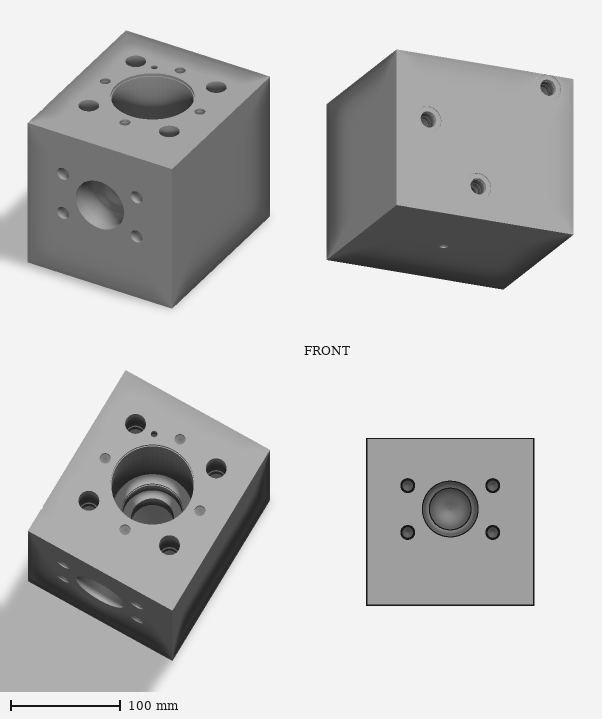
import cadquery as cq
import math

WIDTH = 152.4
LENGTH = 177.8
HEIGHT = 152.4
DRILL_POINT_ANGLE = 118.0

CAVITY_Y = 95.3
MAIN_DIAMETER = 75.0
MAIN_RELIEF_DIAMETER = 76.6
MAIN_DEPTH = 87.0
SEAT_DIAMETER = 55.3
SEAT_RELIEF_DIAMETER = 56.7
SEAT_DEPTH = 104.9
RELIEF_DEPTH = 2.8
PASSAGE_DIAMETER = 39.6
PASSAGE_DEPTH = 124.5
OUTLET_DIAMETER = 8.0

COVER_BOLT_OFFSET = 42.5
COVER_THREAD_DIAMETER = 19.0
COVER_THREAD_DEPTH = 35.5
COVER_TAP_DIAMETER = 16.7
COVER_TAP_DEPTH = 42.7
PILOT_RADIUS = 50.0
PILOT_DIAMETER = 10.0
PILOT_DEPTH = 2.3
PIN_X = -23.0
PIN_DIAMETER = 6.0
PIN_DEPTH = 8.9

PORT_Z = 87.8
PORT_DIAMETER = 50.9
PORT_DEPTH = 30.0
PORT_DRILL_DIAMETER = 38.0
PORT_DRILL_DEPTH = 42.7
FLANGE_BOLT_X = 38.8
FLANGE_BOLT_Z = 21.3
FLANGE_THREAD_DIAMETER = 12.6
FLANGE_THREAD_DEPTH = 23.1
FLANGE_TAP_DIAMETER = 10.7
FLANGE_TAP_DEPTH = 28.5

UPPER_PORTS = [(145.5, 89.3), (25.2, 140.0)]
LOWER_PORT = (CAVITY_Y, 32.0)
SPOTFACE_DIAMETER = 25.0
SPOTFACE_DEPTH = 0.7
SEAL_MOUTH_DIAMETER = 15.6
SEAL_END_DIAMETER = 14.5
SEAL_DEPTH = 2.5
CONTROL_BORES = [(14.2, 10.7), (13.0, 12.5), (12.3, 14.2)]
LOWER_PORT_DRILLS = [(8.0, 24.9), (6.2, 32.0)]


def point_length(diameter):
    """Height of the conical point left by a drill."""
    return diameter / 2 / math.tan(math.radians(DRILL_POINT_ANGLE / 2))


def drilled(diameter, depth):
    """Upright drilled hole: mouth at Z = 0, full diameter to depth, conical point below."""
    radius = diameter / 2
    return (
        cq.Workplane("XZ")
        .polyline([(0, 0), (radius, 0), (radius, -depth), (0, -depth - point_length(diameter))])
        .close()
        .revolve(360, (0, 0), (0, 1))
    )


def plain_bore(diameter, depth):
    """Upright flat-bottomed bore with its mouth at Z = 0."""
    return cq.Workplane("XY").circle(diameter / 2).extrude(-depth)


def tapped(thread_diameter, thread_depth, tap_diameter, tap_depth):
    """Thread-diameter bore over a deeper, pointed tap drill hole."""
    return drilled(tap_diameter, tap_depth).union(plain_bore(thread_diameter, thread_depth))


def seal_taper():
    """Conical seal seat that narrows down from the bottom of a spotface."""
    return (
        cq.Workplane("XY")
        .workplane(offset=-SPOTFACE_DEPTH)
        .circle(SEAL_MOUTH_DIAMETER / 2)
        .workplane(offset=-SEAL_DEPTH)
        .circle(SEAL_END_DIAMETER / 2)
        .loft()
    )


def on_top(tool, x, y):
    return tool.translate((x, y, HEIGHT))


def on_front(tool, x, z):
    return tool.rotate((0, 0, 0), (1, 0, 0), 90).translate((x, 0, z))


def on_left(tool, y, z):
    return tool.rotate((0, 0, 0), (0, 1, 0), -90).translate((-WIDTH / 2, y, z))


def valve_cavity():
    return (
        drilled(PASSAGE_DIAMETER, PASSAGE_DEPTH)
        .union(plain_bore(OUTLET_DIAMETER, HEIGHT))
        .union(plain_bore(SEAT_DIAMETER, SEAT_DEPTH))
        .union(plain_bore(SEAT_RELIEF_DIAMETER, MAIN_DEPTH + RELIEF_DEPTH))
        .union(plain_bore(MAIN_DIAMETER, MAIN_DEPTH))
        .union(plain_bore(MAIN_RELIEF_DIAMETER, RELIEF_DEPTH))
    )


def control_port():
    port = plain_bore(SPOTFACE_DIAMETER, SPOTFACE_DEPTH).union(seal_taper())
    for diameter, depth in CONTROL_BORES[:-1]:
        port = port.union(plain_bore(diameter, depth))
    return port.union(drilled(*CONTROL_BORES[-1]))


result = cq.Workplane("XY").box(WIDTH, LENGTH, HEIGHT, centered=(True, False, False))

result = result.cut(on_top(valve_cavity(), 0, CAVITY_Y))
cover_bolt = tapped(COVER_THREAD_DIAMETER, COVER_THREAD_DEPTH, COVER_TAP_DIAMETER, COVER_TAP_DEPTH)
for x in (-COVER_BOLT_OFFSET, COVER_BOLT_OFFSET):
    for dy in (-COVER_BOLT_OFFSET, COVER_BOLT_OFFSET):
        result = result.cut(on_top(cover_bolt, x, CAVITY_Y + dy))
for x, dy in ((PILOT_RADIUS, 0), (0, PILOT_RADIUS), (-PILOT_RADIUS, 0), (0, -PILOT_RADIUS)):
    result = result.cut(on_top(drilled(PILOT_DIAMETER, PILOT_DEPTH), x, CAVITY_Y + dy))
result = result.cut(on_top(drilled(PIN_DIAMETER, PIN_DEPTH), PIN_X, CAVITY_Y + COVER_BOLT_OFFSET))

result = result.cut(on_front(drilled(PORT_DIAMETER, PORT_DEPTH), 0, PORT_Z))
result = result.cut(on_front(drilled(PORT_DRILL_DIAMETER, PORT_DRILL_DEPTH), 0, PORT_Z))
flange_bolt = tapped(FLANGE_THREAD_DIAMETER, FLANGE_THREAD_DEPTH, FLANGE_TAP_DIAMETER, FLANGE_TAP_DEPTH)
for x in (-FLANGE_BOLT_X, FLANGE_BOLT_X):
    for dz in (-FLANGE_BOLT_Z, FLANGE_BOLT_Z):
        result = result.cut(on_front(flange_bolt, x, PORT_Z + dz))

for y, z in UPPER_PORTS + [LOWER_PORT]:
    result = result.cut(on_left(control_port(), y, z))
for diameter, depth in LOWER_PORT_DRILLS:
    result = result.cut(on_left(drilled(diameter, depth), *LOWER_PORT))